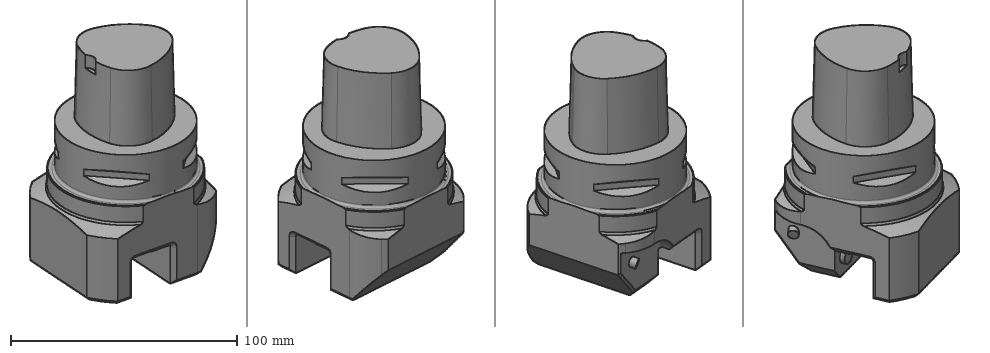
import cadquery as cq
import math

total_height = 108.0
collar_top = 70.2
flange_top = 46.3
flange_bottom = 37.9
cone_top = 36.7
cone_bottom = 33.7

collar_diameter = 63.0
collar_radius = collar_diameter / 2
collar_fillet = 1.3
flange_chamfer = 0.4
collar_bottom = flange_top + collar_fillet
flange_radius = 34.9
cone_top_radius = 35.4
corner_radius = 42.4
body_width = 64.0
side_x = body_width / 2
front_y = -36.9
back_y = 32.1
back_round_start_y = 15.8
back_round_radius = 20.1

lobe_radius = 14.8
lobe_center_distance = 8.6
lobe_half_angle = 40
lobe_spacing = 120
shank_taper = 1 / 40
drive_notch_radius = 5.0
drive_notch_depth = 1.9
drive_notch_height = 6.5

groove_count = 4
groove_z = 57.9
groove_floor_distance = 27.9
groove_floor_height = 3.1
groove_mouth_height = 7.8

slot_front_y = -19.0
slot_back_y = 2.4
slot_top = 20.0
slot_corner_radius = 1.1
edge_chamfer = 2.0
ledge_front_y = -7.5
ledge_bottom = 18.9
ledge_face_z = slot_top + edge_chamfer
jaw_root_radius = 0.9

recess_x = -24.7
recess_top = 30.0
recess_arc_y = 15.1
recess_arc_radius = 16.2
recess_fillet = 0.8
jaw_slope_top = 19.0
jaw_slope_bottom_y = 16.2
jaw_edge_chamfer = 1.1
jaw_bottom_bevel_x = 5.6
jaw_bottom_bevel_z = 6.0
screw_diameter = 8.5
screw_x = -15.1
screw_z = 9.9
screw_projection = 2.4
screw_chamfer = 1.1
screw_rim_step = 0.1
nozzle_diameter = 5.0
nozzle_tip = cq.Vector(-26.9, 21.6, 21.0)
nozzle_direction = cq.Vector(-1.7, -0.6, -0.5)
nozzle_length = 5.4

margin = 10.8
pick_gap = 0.1


def make_body_outline():
    """Plan outline: front corners lie on one circle, back corners are rounded then cut at 45 degrees."""
    front_x = math.sqrt(corner_radius**2 - front_y**2)
    corner_y = -math.sqrt(corner_radius**2 - side_x**2)
    diagonal = math.sqrt(0.5)
    corner_mid = corner_radius * diagonal
    round_center_x = side_x - back_round_radius
    round_end_x = round_center_x + back_round_radius * diagonal
    round_end_y = back_round_start_y + back_round_radius * diagonal
    half_angle = math.radians(45 / 2)
    round_mid_x = round_center_x + back_round_radius * math.cos(half_angle)
    round_mid_y = back_round_start_y + back_round_radius * math.sin(half_angle)
    back_x = round_end_x - (back_y - round_end_y)
    return (
        cq.Workplane("XY")
        .moveTo(-front_x, front_y)
        .lineTo(front_x, front_y)
        .threePointArc((corner_mid, -corner_mid), (side_x, corner_y))
        .lineTo(side_x, back_round_start_y)
        .threePointArc((round_mid_x, round_mid_y), (round_end_x, round_end_y))
        .lineTo(back_x, back_y)
        .lineTo(-back_x, back_y)
        .lineTo(-round_end_x, round_end_y)
        .threePointArc((-round_mid_x, round_mid_y), (-side_x, back_round_start_y))
        .lineTo(-side_x, corner_y)
        .threePointArc((-corner_mid, -corner_mid), (-front_x, front_y))
        .close()
    )


def make_body():
    """Collar, flange and conical shoulder turned about Z, trimmed to the body outline."""
    fillet_x = collar_radius + collar_fillet
    fillet_offset = collar_fillet * math.sqrt(0.5)
    turned = (
        cq.Workplane("XZ")
        .moveTo(0, 0)
        .lineTo(corner_radius + margin, 0)
        .lineTo(corner_radius + margin, cone_bottom)
        .lineTo(corner_radius, cone_bottom)
        .lineTo(cone_top_radius, cone_top)
        .lineTo(flange_radius, flange_bottom)
        .lineTo(flange_radius, flange_top - flange_chamfer)
        .lineTo(flange_radius - flange_chamfer, flange_top)
        .lineTo(fillet_x, flange_top)
        .threePointArc(
            (fillet_x - fillet_offset, collar_bottom - fillet_offset), (collar_radius, collar_bottom)
        )
        .lineTo(collar_radius, collar_top)
        .lineTo(0, collar_top)
        .close()
        .revolve(360, (0, 0), (0, 1))
    )
    return turned.intersect(make_body_outline().extrude(collar_top))


def polar(reach, angle, z):
    """Point at a distance from the Z axis, turned counterclockwise from +Y by an angle in degrees."""
    turn = math.radians(angle)
    return cq.Vector(-reach * math.sin(turn), reach * math.cos(turn), z)


def shank_outline(inset, z):
    """Closed outline of three lobe arcs and three flatter arcs, tangent to each other.

    One lobe points to +Y. Returns the wire and the distance from the Z axis to the flatter sides.
    """
    radius = lobe_radius - inset
    lobe_half = math.radians(lobe_half_angle)
    flat_direction = lobe_spacing / 2
    flat_half = math.radians(flat_direction - lobe_half_angle)
    joint_side = radius * math.sin(lobe_half)
    joint_forward = lobe_center_distance + radius * math.cos(lobe_half)
    joint_reach = math.hypot(joint_side, joint_forward)
    joint_angle = math.degrees(math.atan2(joint_side, joint_forward))
    joint_from_flat = math.radians(flat_direction - joint_angle)
    flat_side = joint_reach * math.sin(joint_from_flat)
    flat_forward = joint_reach * math.cos(joint_from_flat)
    flat_reach = flat_forward + flat_side * math.tan(flat_half / 2)

    edges = []
    for lobe_angle in (0, lobe_spacing, 2 * lobe_spacing):
        joint_before = polar(joint_reach, lobe_angle - joint_angle, z)
        lobe_tip = polar(lobe_center_distance + radius, lobe_angle, z)
        joint_after = polar(joint_reach, lobe_angle + joint_angle, z)
        flat_middle = polar(flat_reach, lobe_angle + flat_direction, z)
        next_joint = polar(joint_reach, lobe_angle + lobe_spacing - joint_angle, z)
        edges.append(cq.Edge.makeThreePointArc(joint_before, lobe_tip, joint_after))
        edges.append(cq.Edge.makeThreePointArc(joint_after, flat_middle, next_joint))
    return cq.Wire.assembleEdges(edges), flat_reach


def make_shank():
    height = total_height - collar_top
    base, _ = shank_outline(0, collar_top)
    top, top_flat_reach = shank_outline(height * shank_taper, total_height)
    shank = cq.Workplane(cq.Solid.makeLoft([base, top], True))
    notch_y = -(top_flat_reach - drive_notch_depth + drive_notch_radius)
    notch = (
        cq.Workplane("XY", origin=(0, notch_y, total_height - drive_notch_height))
        .circle(drive_notch_radius)
        .extrude(drive_notch_height)
    )
    return shank.cut(notch)


def make_gripper_grooves():
    """Straight trapezoidal grooves at 45 degrees to the X and Y axes."""
    half_floor = groove_floor_height / 2
    half_mouth = groove_mouth_height / 2
    flank_slope = (half_mouth - half_floor) / (collar_radius - groove_floor_distance)
    overshoot = 1.1
    outer = collar_radius + overshoot
    half_outer = half_mouth + flank_slope * overshoot
    groove = (
        cq.Workplane("XZ", origin=(0, 0, groove_z))
        .polyline([
            (groove_floor_distance, -half_floor),
            (outer, -half_outer),
            (outer, half_outer),
            (groove_floor_distance, half_floor),
        ])
        .close()
        .extrude(collar_radius, both=True)
    )
    grooves = cq.Workplane("XY")
    for index in range(groove_count):
        grooves = grooves.add(groove.rotate((0, 0, 0), (0, 0, 1), 45 + index * 360 / groove_count))
    return grooves.combine()


def cut_tool_slot(body):
    """Cut the slot through X, then chamfer its side edges and the bottom of the front jaw."""
    slot = (
        cq.Workplane("XY")
        .box(4 * side_x, slot_back_y - slot_front_y, 2 * slot_top)
        .translate((0, (slot_back_y + slot_front_y) / 2, 0))
        .edges("|X and >Z")
        .fillet(slot_corner_radius)
    )
    body = body.cut(slot)
    side_edges = cq.Workplane("XY")
    for side in (-side_x, side_x):
        selector = cq.selectors.BoxSelector(
            (side - pick_gap, slot_front_y - pick_gap, pick_gap),
            (side + pick_gap, slot_back_y - slot_corner_radius - pick_gap, slot_top + pick_gap),
        )
        side_edges = side_edges.add(body.edges(selector))
    jaw_bottom = cq.selectors.BoxSelector(
        (-2 * side_x, 2 * front_y, -pick_gap), (2 * side_x, slot_front_y - pick_gap, pick_gap)
    )
    edges = side_edges.add(body.edges(jaw_bottom)).vals()
    return cq.Workplane(body.val().chamfer(edge_chamfer, None, edges))


def make_ledge():
    """Pad under the slot ceiling next to the clamping jaw, with 45 degree ends."""
    half_bottom = side_x - (ledge_face_z - ledge_bottom)
    return (
        cq.Workplane("XZ", origin=(0, slot_back_y, 0))
        .polyline([
            (-half_bottom, ledge_bottom),
            (half_bottom, ledge_bottom),
            (side_x, ledge_face_z),
            (-side_x, ledge_face_z),
        ])
        .close()
        .extrude(slot_back_y - ledge_front_y)
    )


def round_jaw_root(body):
    """Round the inside corner between the ledge and the clamping jaw."""
    root = cq.selectors.BoxSelector(
        (-side_x, slot_back_y - pick_gap, ledge_bottom - pick_gap),
        (side_x, slot_back_y + pick_gap, ledge_bottom + pick_gap),
    )
    return body.edges(root).edges("|X").fillet(jaw_root_radius)


def make_jaw_slope_cut():
    slope = (back_y - jaw_slope_bottom_y) / jaw_slope_top
    low_y = jaw_slope_bottom_y - slope * margin
    return (
        cq.Workplane("YZ")
        .polyline([
            (back_y, jaw_slope_top),
            (back_y + margin, jaw_slope_top),
            (back_y + margin, -margin),
            (low_y, -margin),
        ])
        .close()
        .extrude(2 * side_x, both=True)
    )


def make_side_recess():
    """Pocket on the -X side of the clamping jaw; its floor corner is rounded."""
    depth = side_x + recess_x
    center_z = recess_top - recess_arc_radius
    arc_offset = recess_arc_radius * math.sqrt(0.5)
    far_y = back_y + margin
    near_y = recess_arc_y - recess_arc_radius
    return (
        cq.Workplane("YZ", origin=(-side_x, 0, 0))
        .moveTo(far_y, recess_top)
        .lineTo(recess_arc_y, recess_top)
        .threePointArc((recess_arc_y - arc_offset, center_z + arc_offset), (near_y, center_z))
        .lineTo(near_y, -margin)
        .lineTo(far_y, -margin)
        .close()
        .extrude(depth)
        .edges(">X and (not <Z) and (not >Y)")
        .fillet(recess_fillet)
    )


def make_jaw_bottom_bevel(side, inward, height):
    """Wedge along Y that bevels the bottom corner of the clamping jaw at the given X side."""
    return (
        cq.Workplane("XZ", origin=(0, slot_back_y, 0))
        .polyline([(side, height), (side, 0), (side + inward, 0)])
        .close()
        .extrude(-(back_y - slot_back_y))
    )


def make_clamp_screw():
    return (
        cq.Workplane("XZ", origin=(screw_x, slot_back_y - screw_projection, screw_z))
        .circle(screw_diameter / 2)
        .extrude(-2 * screw_projection)
        .faces("<Y")
        .chamfer(screw_chamfer, screw_rim_step)
    )


def make_nozzle():
    return cq.Workplane(
        cq.Solid.makeCylinder(nozzle_diameter / 2, nozzle_length, nozzle_tip, -nozzle_direction)
    )


def bevel_jaw_slope_edge(body):
    slope_edge = cq.selectors.BoxSelector(
        (recess_x - pick_gap, jaw_slope_bottom_y, pick_gap),
        (recess_x + pick_gap, back_y, jaw_slope_top - pick_gap),
    )
    return body.edges(slope_edge).chamfer(jaw_edge_chamfer)


body = cut_tool_slot(make_body())
body = round_jaw_root(body.union(make_ledge()))
body = body.cut(make_jaw_slope_cut())
body = body.cut(make_side_recess())
body = bevel_jaw_slope_edge(body)
body = body.cut(make_jaw_bottom_bevel(recess_x, jaw_bottom_bevel_x, jaw_bottom_bevel_z))
body = body.cut(make_jaw_bottom_bevel(side_x, -edge_chamfer, edge_chamfer))
body = body.cut(make_gripper_grooves())
body = body.union(make_clamp_screw())
body = body.union(make_nozzle())
result = body.union(make_shank())